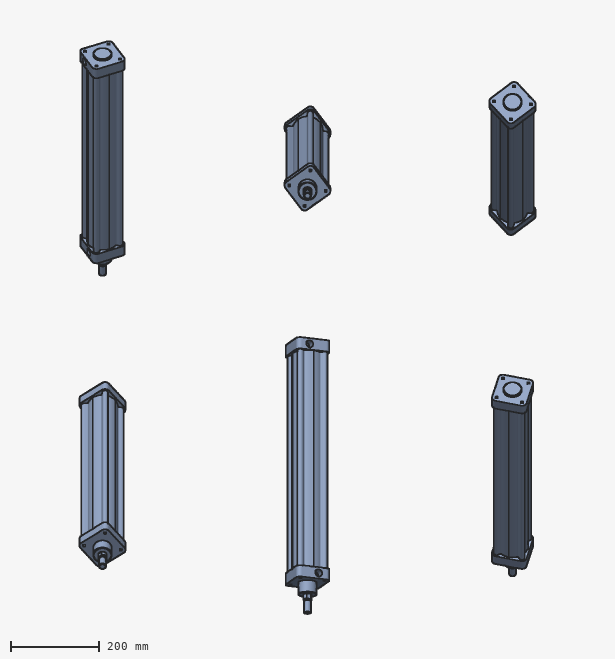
import cadquery as cq
import math


TOTAL_LENGTH = 641.0
ROD_SHOULDER_Z = 32.0
GUIDE_BOTTOM_Z = 43.5
HEAD_BOTTOM_Z = 72.0
CAP_HEIGHT = 27.0
REAR_BOSS_HEIGHT = 4.5
HEAD_TOP_Z = HEAD_BOTTOM_Z + CAP_HEIGHT
REAR_TOP_Z = TOTAL_LENGTH - REAR_BOSS_HEIGHT
REAR_BOTTOM_Z = REAR_TOP_Z - CAP_HEIGHT

CAP_WIDTH = 80.0
CAP_CORNER_RADIUS = 10.0
BOSS_DIAMETER = 41.5
BOSS_CHAMFER = 1.0
SCREW_OFFSET = 29.5
SCREW_HOLE_DIAMETER = 5.45
PORT_DIAMETER = 16.5
PORT_DEPTH = 22.5
PORT_OFFSET = 11.0

CORE_RADIUS = 35.0
LOBE_WIDTH = 13.5
LOBE_ROOT_FILLET = 2.5
RIDGE_APEX = SCREW_OFFSET + LOBE_WIDTH / 2
BARREL_LENGTH = REAR_BOTTOM_Z - HEAD_TOP_Z

ROD_DIAMETER = 20.0
WRENCH_FLAT_WIDTH = 17.0
THREAD_DIAMETER = 16.0
THREAD_CHAMFER = 1.6
UNDERCUT_LENGTH = 2.0


def cylinder(diameter, bottom_z, top_z):
    return cq.Workplane("XY").workplane(offset=bottom_z).circle(diameter / 2).extrude(top_z - bottom_z)


def cap_block(bottom_z, port_x):
    """Square cap with rounded corners, four screw holes and an air port in its -Y side."""
    block = (
        cq.Workplane("XY")
        .workplane(offset=bottom_z)
        .rect(CAP_WIDTH, CAP_WIDTH)
        .extrude(CAP_HEIGHT)
        .edges("|Z")
        .fillet(CAP_CORNER_RADIUS)
    )
    screw_holes = (
        cq.Workplane("XY")
        .workplane(offset=bottom_z)
        .rect(2 * SCREW_OFFSET, 2 * SCREW_OFFSET, forConstruction=True)
        .vertices()
        .circle(SCREW_HOLE_DIAMETER / 2)
        .extrude(CAP_HEIGHT)
    )
    port = (
        cq.Workplane("XZ", origin=(port_x, -CAP_WIDTH / 2, bottom_z + CAP_HEIGHT / 2))
        .circle(PORT_DIAMETER / 2)
        .extrude(-PORT_DEPTH)
    )
    return block.cut(screw_holes).cut(port)


def make_rear_cap():
    boss = cylinder(BOSS_DIAMETER, REAR_TOP_Z, TOTAL_LENGTH).faces(">Z").chamfer(BOSS_CHAMFER)
    return cap_block(REAR_BOTTOM_Z, -PORT_OFFSET).union(boss)


def make_head_cap():
    """Cap at the rod end, with a guide neck below it and a bore for the rod."""
    guide = cylinder(BOSS_DIAMETER, GUIDE_BOTTOM_Z, HEAD_BOTTOM_Z).faces("<Z").chamfer(BOSS_CHAMFER)
    rod_bore = cylinder(ROD_DIAMETER, GUIDE_BOTTOM_Z, HEAD_TOP_Z)
    return cap_block(HEAD_BOTTOM_Z, PORT_OFFSET).union(guide).cut(rod_bore)


def barrel_ridge():
    """Wedge whose two faces run tangent to the core and meet at the apex on the +X side."""
    tangent_angle = math.acos(CORE_RADIUS / RIDGE_APEX)
    tangent_x = CORE_RADIUS * math.cos(tangent_angle)
    tangent_y = CORE_RADIUS * math.sin(tangent_angle)
    return (
        cq.Workplane("XY")
        .workplane(offset=HEAD_TOP_Z)
        .polyline([(0, 0), (tangent_x, -tangent_y), (RIDGE_APEX, 0), (tangent_x, tangent_y)])
        .close()
        .extrude(BARREL_LENGTH)
    )


def is_lobe_root(edge):
    """True for the edges along Z where the flanks of the lobes meet the core."""
    center = edge.Center()
    return math.isclose(math.hypot(center.x, center.y), CORE_RADIUS, rel_tol=1e-4)


def make_barrel():
    barrel = cylinder(2 * CORE_RADIUS, HEAD_TOP_Z, REAR_BOTTOM_Z).rotate((0, 0, 0), (0, 0, 1), 45)
    lobe_length = 2 * (math.hypot(SCREW_OFFSET, SCREW_OFFSET) + LOBE_WIDTH / 2)
    for angle in (45, 135):
        lobe_pair = (
            cq.Workplane("XY")
            .workplane(offset=HEAD_TOP_Z)
            .slot2D(lobe_length, LOBE_WIDTH, angle)
            .extrude(BARREL_LENGTH)
        )
        barrel = barrel.union(lobe_pair)
    barrel = barrel.edges("|Z").filter(is_lobe_root).fillet(LOBE_ROOT_FILLET)
    for side in range(4):
        barrel = barrel.union(barrel_ridge().rotate((0, 0, 0), (0, 0, 1), 90 * side))
    return barrel


def make_rod():
    """Rod with two wrench flats below the guide, an undercut and a chamfered threaded end."""
    thread_top_z = ROD_SHOULDER_Z - UNDERCUT_LENGTH
    shank = cylinder(ROD_DIAMETER, ROD_SHOULDER_Z, HEAD_TOP_Z)
    flat_height = GUIDE_BOTTOM_Z - ROD_SHOULDER_Z
    flats = (
        cq.Workplane("XY")
        .workplane(offset=ROD_SHOULDER_Z)
        .rect(ROD_DIAMETER, ROD_DIAMETER)
        .rect(ROD_DIAMETER, WRENCH_FLAT_WIDTH)
        .extrude(flat_height)
    )
    undercut = cylinder(THREAD_DIAMETER - 2 * THREAD_CHAMFER, thread_top_z, ROD_SHOULDER_Z)
    thread = cylinder(THREAD_DIAMETER, 0, thread_top_z).faces("<Z or >Z").chamfer(THREAD_CHAMFER)
    return shank.cut(flats).union(undercut).union(thread)


rear_cap = make_rear_cap()
head_cap = make_head_cap()
barrel = make_barrel()
rod = make_rod()

result = cq.Compound.makeCompound([rear_cap.val(), head_cap.val(), barrel.val(), rod.val()])